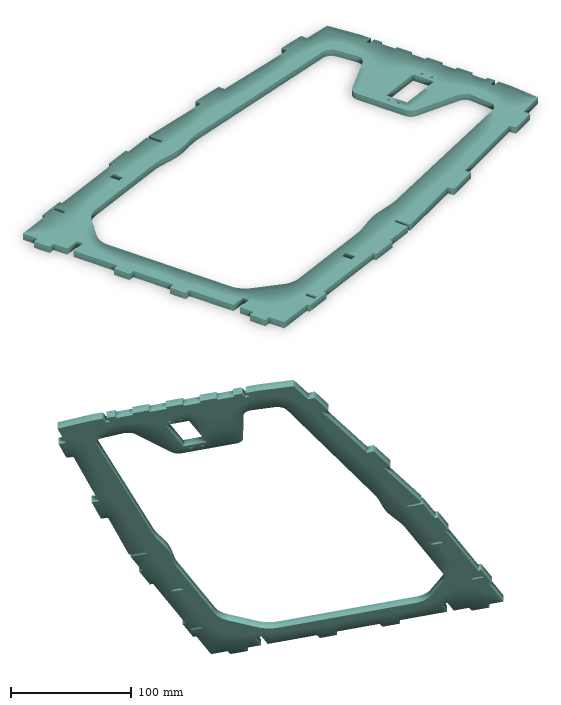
import cadquery as cq
import math

overall_width = 266.0
overall_length = 429.0
thickness = 6.0

thin_slot = 3.4
wide_slot = 6.2

side_tab_height = 2.8
bottom_tab_height = 5.7
half_width = overall_width / 2 - side_tab_height
top_y = overall_length / 2
bottom_y = -overall_length / 2 + bottom_tab_height
shoulder_y = -19.3
top_corner_x = 105.1
top_corner_y = 211.4
top_flat_half_width = 73.5

straight_tab_length = 25.0
straight_tab_centers = (-62.2, -162.2)
slanted_tabs = ((63.5, 30.5), (172.5, 25.5))
slanted_tab_height = 6.1
bottom_tab_width = 15.7
bottom_tab_centers = (27.9, 107.5)
bottom_slot_x = 82.8
bottom_slot_depth = 14.2
top_notch_width = 15.0
top_notch_depth = 2.9
top_notch_centers = (15.0, 45.0)
top_slot_x = 61.9
top_slot_depth = 7.3
side_slot_depth = 14.0
pocket_length = 9.8
upper_pocket = (115.7, -90.0)
lower_pocket = (half_width - pocket_length / 2, -161.1)

opening_half_width = 101.2
opening_bottom_y = -184.9
bevel_start_y = -151.7
bevel_end_x = 70.5
bevel_radius = 22.0
waist_start_y = -51.0
waist_x = 96.3
waist_y = -24.0
waist_end_x = 98.9
waist_end_y = 2.0
waist_radius = 60.0
opening_top_x = 84.1
opening_top_y = 181.6
tongue_root_x = 50.4
tongue_root_y = 184.6
tongue_tip_x = 30.0
tongue_tip_y = 133.4
opening_radius = 9.0

window_center = (8.5, 164.7)
window_width = 20.8
window_length = 40.6
screw_diameter = 2.5
screw_spacing_x = 10.0
screw_spacing_y = 50.0


def mirrored(half_points):
    """Close a right-hand half outline with its mirror image about X = 0."""
    return half_points + [(-x, y) for x, y in reversed(half_points)]


def block(x, y, width, length, angle=0.0):
    """Full-thickness block centred on (x, y), turned about Z by angle degrees."""
    return (
        cq.Workplane("XY")
        .rect(width, length)
        .extrude(thickness)
        .rotate((0, 0, 0), (0, 0, 1), angle)
        .translate((x, y, 0))
    )


def block_pair(x, y, width, length, angle=0.0):
    """A block and its mirror image."""
    return block(x, y, width, length, angle).union(block(-x, y, width, length, -angle))


def make_blank():
    return (
        cq.Workplane("XY")
        .polyline(mirrored([
            (half_width, bottom_y),
            (half_width, shoulder_y),
            (top_corner_x, top_corner_y),
            (top_flat_half_width, top_y),
        ]))
        .close()
        .extrude(thickness)
    )


def make_opening():
    corners = [
        (bevel_end_x, opening_bottom_y, bevel_radius),
        (opening_half_width, bevel_start_y, bevel_radius),
        (opening_half_width, waist_start_y, waist_radius),
        (waist_x, waist_y, waist_radius),
        (waist_end_x, waist_end_y, waist_radius),
        (opening_top_x, opening_top_y, opening_radius),
        (tongue_root_x, tongue_root_y, opening_radius),
        (tongue_tip_x, tongue_tip_y, opening_radius),
    ]
    opening = (
        cq.Workplane("XY")
        .polyline(mirrored([(x, y) for x, y, _ in corners]))
        .close()
        .extrude(thickness)
    )
    for x, y, radius in corners:
        for side in (1, -1):
            edge = cq.selectors.NearestToPointSelector((side * x, y, thickness / 2))
            opening = opening.edges("|Z").edges(edge).fillet(radius)
    return opening


def add_tabs(plate):
    for y in straight_tab_centers:
        plate = plate.union(block_pair(half_width, y, 2 * side_tab_height, straight_tab_length))

    taper = (half_width - top_corner_x) / (top_corner_y - shoulder_y)
    taper_angle = math.degrees(math.atan(taper))
    for y, length in slanted_tabs:
        edge_x = half_width - taper * (y - shoulder_y)
        plate = plate.union(block_pair(edge_x, y, 2 * slanted_tab_height, length, taper_angle))

    for x in bottom_tab_centers:
        plate = plate.union(block_pair(x, bottom_y, bottom_tab_width, 2 * bottom_tab_height))
    return plate


def cut_slots(plate):
    for x in top_notch_centers:
        plate = plate.cut(block_pair(x, top_y, top_notch_width, 2 * top_notch_depth))
    plate = plate.cut(block_pair(top_slot_x, top_y, thin_slot, 2 * top_slot_depth))
    plate = plate.cut(block_pair(bottom_slot_x, bottom_y, wide_slot, 2 * bottom_slot_depth))
    side_slot_y = shoulder_y - thin_slot / 2
    plate = plate.cut(block_pair(half_width, side_slot_y, 2 * side_slot_depth, thin_slot))
    plate = plate.cut(block_pair(*upper_pocket, pocket_length, wide_slot))
    return plate.cut(block_pair(*lower_pocket, pocket_length, thin_slot))


def cut_latch_window(plate):
    plate = plate.cut(block(*window_center, window_width, window_length))
    screws = (
        cq.Workplane("XY")
        .center(*window_center)
        .rarray(screw_spacing_x, screw_spacing_y, 2, 2)
        .circle(screw_diameter / 2)
        .extrude(thickness)
    )
    return plate.cut(screws)


plate = make_blank()
plate = add_tabs(plate)
plate = plate.cut(make_opening())
plate = cut_slots(plate)
result = cut_latch_window(plate)